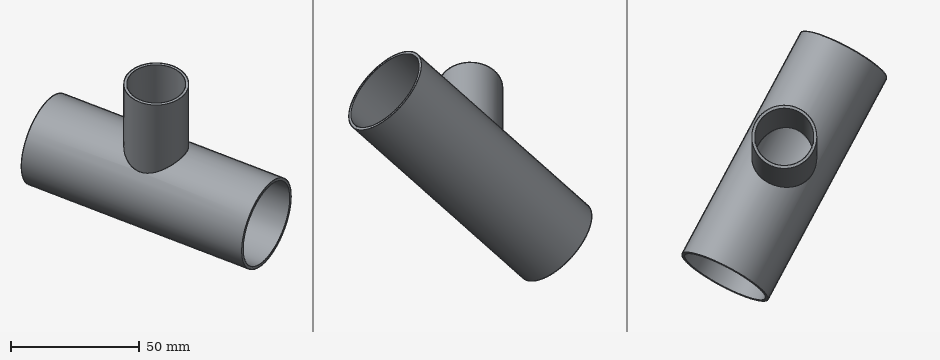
import cadquery as cq

run_length = 100.0
run_outer_diameter = 38.1
run_inner_diameter = 35.7

branch_height = 50.0
branch_outer_diameter = 25.4
branch_inner_diameter = 23.0


def run_cylinder(diameter):
    """Full-length cylinder along the run axis."""
    return cq.Workplane("YZ").circle(diameter / 2).extrude(run_length / 2, both=True)


def branch_cylinder(diameter):
    """Cylinder from the run axis up to the open end of the branch."""
    return cq.Workplane("XY").circle(diameter / 2).extrude(branch_height)


outer_body = run_cylinder(run_outer_diameter).union(branch_cylinder(branch_outer_diameter))
result = outer_body.cut(run_cylinder(run_inner_diameter)).cut(branch_cylinder(branch_inner_diameter))